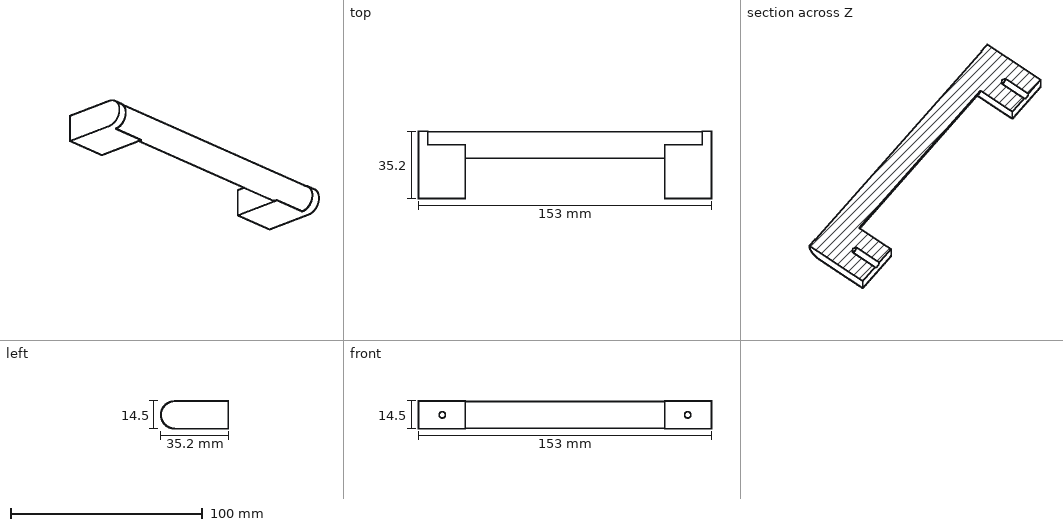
import math

import cadquery as cq

overall_length = 153.0
hole_spacing = 128.0
foot_length = 24.5
foot_height = 14.5
foot_depth = 28.0
bar_diameter = 14.0
end_cap_thickness = 5.0
screw_hole_diameter = 3.3
screw_hole_depth = 15.0
drill_tip_angle = 118.0

end_cap_radius = foot_height / 2
bar_radius = bar_diameter / 2
bar_length = overall_length - 2 * end_cap_thickness
screw_hole_radius = screw_hole_diameter / 2
drill_tip_depth = screw_hole_radius / math.tan(math.radians(drill_tip_angle / 2))


def make_bar():
    """Round grip along X, ending against the two end caps; its axis is the X axis."""
    return cq.Workplane("YZ").circle(bar_radius).extrude(bar_length / 2, both=True)


def make_foot():
    """Left foot: a block from the mounting face up to the bar axis."""
    return (
        cq.Workplane("XY")
        .box(foot_length, foot_depth, foot_height, centered=(False, False, True))
        .translate((-overall_length / 2, -foot_depth, 0))
    )


def make_end_cap():
    """Left end cap: a half disc that rounds off the foot and closes the bar end."""
    return (
        cq.Workplane("YZ", origin=(-overall_length / 2, 0, 0))
        .moveTo(0, -end_cap_radius)
        .threePointArc((end_cap_radius, 0), (0, end_cap_radius))
        .close()
        .extrude(end_cap_thickness)
    )


def make_screw_hole():
    """Left screw hole: blind, drilled into the mounting face, with a conical bottom."""
    cone_start = screw_hole_depth - foot_depth
    return (
        cq.Workplane("XY")
        .moveTo(0, -foot_depth)
        .lineTo(screw_hole_radius, -foot_depth)
        .lineTo(screw_hole_radius, cone_start)
        .lineTo(0, cone_start + drill_tip_depth)
        .close()
        .revolve(360, (0, 0, 0), (0, 1, 0))
        .translate((-hole_spacing / 2, 0, 0))
    )


left_support = make_foot().union(make_end_cap())
left_hole = make_screw_hole()

result = (
    make_bar()
    .union(left_support)
    .union(left_support.mirror("YZ"))
    .cut(left_hole)
    .cut(left_hole.mirror("YZ"))
)